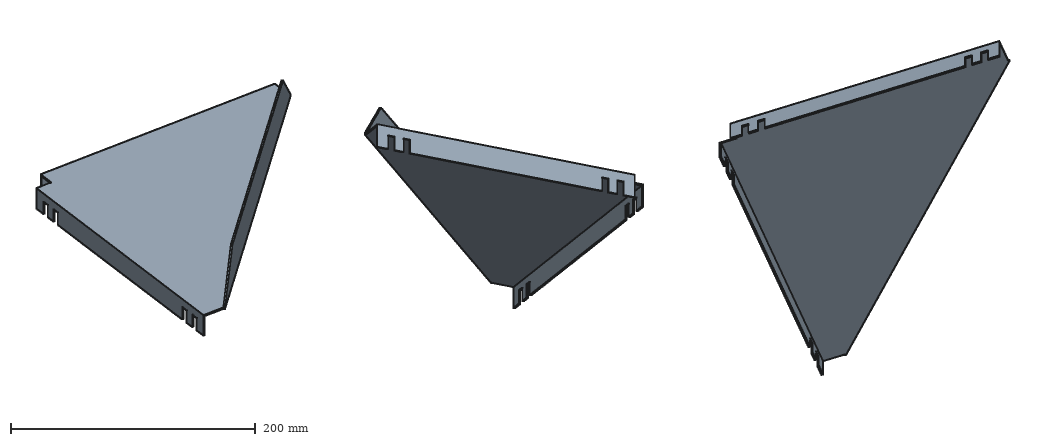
import cadquery as cq
import math

side = 250.0
overall_side = 251.04
corner_notch = 15.0
short_edge = 19.86
sheet = 1.5
skirt_height = 20.0
fin_height = 37.5
fin_end_angle = 45.0

slot_width = 6.0
slots_per_end = 2
slot_height = 12.0
slot_end_margin = 10.0
slot_gap = 8.0

plate_top = skirt_height
skirt_length = side - corner_notch
slot_pitch = slot_width + slot_gap
hypotenuse_mid = (side + short_edge) / 2
fin_overhang = sheet / math.sqrt(2)
fin_half_length = (overall_side - fin_overhang - hypotenuse_mid) * math.sqrt(2)
fin_top_half_length = fin_half_length - fin_height / math.tan(math.radians(fin_end_angle))


def make_plate():
    """Flat triangular sheet with blunt acute ends and a notched square corner."""
    outline = [
        (corner_notch, 0),
        (side, 0),
        (side, short_edge),
        (short_edge, side),
        (0, side),
        (0, corner_notch),
        (corner_notch, corner_notch),
    ]
    return cq.Workplane("XY").workplane(offset=plate_top - sheet).polyline(outline).close().extrude(sheet)


def make_skirt():
    """Downward skirt along the X side, with a pair of open slots near each end."""
    skirt = cq.Workplane("XY").box(skirt_length, sheet, skirt_height, centered=False)
    for index in range(slots_per_end):
        near_start = slot_end_margin + index * slot_pitch
        near_end = skirt_length - near_start - slot_width
        for start in (near_start, near_end):
            slot = cq.Workplane("XY").box(slot_width, sheet, slot_height, centered=False)
            skirt = skirt.cut(slot.translate((start, 0, 0)))
    return skirt.translate((corner_notch, 0, 0))


def make_fin():
    """Upright fin on the slanted edge, straight through the plate and tapering above it."""
    slanted_edge = cq.Plane(
        origin=(hypotenuse_mid, hypotenuse_mid, plate_top),
        xDir=(-1, 1, 0),
        normal=(1, 1, 0),
    )
    outline = [
        (-fin_half_length, -sheet),
        (fin_half_length, -sheet),
        (fin_half_length, 0),
        (fin_top_half_length, fin_height),
        (-fin_top_half_length, fin_height),
        (-fin_half_length, 0),
    ]
    return cq.Workplane(slanted_edge).polyline(outline).close().extrude(sheet)


skirt_along_x = make_skirt()
skirt_along_y = skirt_along_x.mirror("YZ").rotate((0, 0, 0), (0, 0, 1), -90)

result = make_plate().union(skirt_along_x).union(skirt_along_y).union(make_fin())